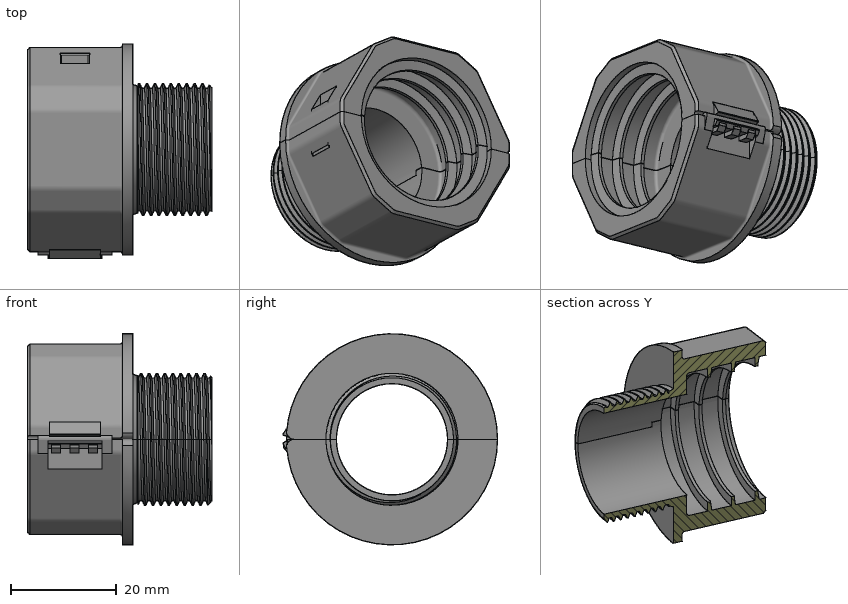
import cadquery as cq
import math


total_length = 35.0
socket_length = 18.0
flange_radius = 20.0
flange_thickness = 2.0

wrench_apothem = 18.05
corner_apothem = 19.35
flat_angle = math.radians(30)
corner_rounding = 2.0
front_chamfer = 0.5
flange_fillet = 0.43

bore_radius = 10.5
groove_radius = 14.85
rib_radius = 13.0
rib_width = 0.7
rib_slope = 0.3
first_rib_x = 1.4
rib_pitch = 5.1
rib_count = 3
bulkhead_x = 17.05
bulkhead_fillet = 0.6

thread_radius = 12.5
thread_root_radius = 11.65
thread_pitch = 1.5
thread_crest_width = 0.25
thread_base_width = 1.2
thread_overlap = 0.15
thread_start_x = 20.8
neck_radius = 12.05
neck_base_radius = 12.35
neck_length = 1.0
neck_taper_length = 0.8
thread_end_chamfer = 0.85

tongue_height = 0.95
tongue_half_width = 16.0
tongue_end_x = 19.0
tongue_clearance = 0.06

flange_notch_radius = 1.5
flange_notch_reach = 1.0

bar_start_x = 2.0
bar_end_x = 16.05
bar_inner_y = -18.7
bar_outer_y = -20.0
bar_round = (bar_inner_y - bar_outer_y) / 2
bar_top_z = 0.7
bar_knee_z = -0.2
bar_foot_y = -19.3
bar_bottom_z = -2.7
lip_start_x = 4.2
lip_end_x = 13.85
lip_tip_y = -20.65
lip_root_y = -18.0
upper_lip_outline = [
    (lip_root_y, 3.3),
    (-19.0, 3.3),
    (-19.75, 2.3),
    (lip_tip_y, 1.0),
    (lip_tip_y, 0.8),
    (-19.6, 0.45),
    (lip_root_y, 0.8),
]

pocket_start_x = 3.93
pocket_end_x = 14.12
pocket_floor_y = -17.58
pocket_top_z = -1.7
pocket_bottom_z = -5.65
lip_rib_width = 1.7
lip_rib_first_x = 5.46
lip_rib_pitch = 3.5
lip_rib_count = 3
lower_lip_outline = [
    (lip_root_y, -0.3),
    (bar_outer_y, -0.3),
    (lip_tip_y, -0.7),
    (lip_tip_y, -0.85),
    (-20.1, pocket_top_z),
    (lip_root_y, pocket_top_z),
]
lip_rib_outline = [
    (pocket_floor_y, -1.0),
    (-20.5, -1.0),
    (-20.5, -1.6),
    (-19.7, -2.6),
    (pocket_floor_y, -2.6),
]

slot_start_x = 6.27
slot_end_x = 11.78
slot_inner_y = 16.28
slot_outer_y = 18.23
latch_start_x = 6.45
latch_end_x = 11.5
latch_outer_y = 17.95
latch_height = 2.0

half_space = 30.0


def box(x0, x1, y0, y1, z0, z1):
    """Box between two corners."""
    return cq.Workplane("XY").box(x1 - x0, y1 - y0, z1 - z0, centered=False).translate((x0, y0, z0))


def prism(points, x0, x1):
    """Extrude a (y, z) outline along X from x0 to x1."""
    return cq.Workplane("YZ", origin=(x0, 0, 0)).polyline(points).close().extrude(x1 - x0)


def revolve_about_x(points):
    """Revolve an (x, radius) outline around the X axis."""
    return cq.Workplane("XY").polyline(points).close().revolve(360, (0, 0, 0), (1, 0, 0))


def make_head():
    """Twelve-sided head with rounded corners, joined to the round flange by a fillet."""
    along_flat = (corner_apothem - wrench_apothem * math.cos(flat_angle)) / math.sin(flat_angle)
    vertex_radius = math.hypot(wrench_apothem, along_flat)
    vertex_offset = math.atan2(along_flat, wrench_apothem)
    corners = []
    for i in range(6):
        flat_direction = math.pi / 2 + i * 2 * flat_angle
        for angle in (flat_direction - vertex_offset, flat_direction + vertex_offset):
            corners.append((vertex_radius * math.cos(angle), vertex_radius * math.sin(angle)))
    head = prism(corners, 0, socket_length).edges("|X").fillet(corner_rounding)
    head = head.faces("<X").chamfer(front_chamfer)
    flange = cq.Workplane("YZ", origin=(socket_length, 0, 0)).circle(flange_radius).extrude(flange_thickness)
    head = head.union(flange)
    tolerance = 0.01
    joint = cq.selectors.BoxSelector(
        (socket_length - tolerance, -half_space, -half_space),
        (socket_length + tolerance, half_space, half_space),
        boundingbox=True,
    )
    foot = [edge for edge in head.edges(joint).vals() if edge.Length() < flange_radius]
    return head.newObject(foot).fillet(flange_fillet)


def make_threaded_core():
    """Shank core: necked root next to the flange, plain cylinder under the thread."""
    flange_end = socket_length + flange_thickness
    neck_end = flange_end + neck_length
    return revolve_about_x([
        (socket_length, 0),
        (socket_length, neck_base_radius),
        (flange_end, neck_base_radius),
        (flange_end + neck_taper_length, neck_radius),
        (neck_end, neck_radius),
        (neck_end, thread_root_radius),
        (total_length, thread_root_radius),
        (total_length, 0),
    ])


def make_thread():
    """Right-handed helical ridge, trimmed by the neck and the chamfered shank end."""
    base_radius = thread_root_radius - thread_overlap
    height = total_length + thread_pitch - thread_start_x
    helix = cq.Wire.makeHelix(thread_pitch, height, base_radius)
    ridge = (
        cq.Workplane("XZ")
        .polyline([
            (base_radius, -thread_base_width / 2),
            (thread_radius, -thread_crest_width / 2),
            (thread_radius, thread_crest_width / 2),
            (base_radius, thread_base_width / 2),
        ])
        .close()
        .sweep(cq.Workplane(obj=helix), isFrenet=True)
    )
    ridge = ridge.rotate((0, 0, 0), (0, 1, 0), 90).translate((thread_start_x, 0, 0))
    neck_end = socket_length + flange_thickness + neck_length
    margin = 1.0
    envelope = revolve_about_x([
        (neck_end, 0),
        (neck_end, thread_radius + margin),
        (total_length - thread_end_chamfer - margin, thread_radius + margin),
        (total_length, thread_radius - thread_end_chamfer),
        (total_length, 0),
    ])
    return ridge.intersect(envelope)


def make_bore():
    """Cavity of the socket with its retaining ribs, and the bore through the shank."""
    outline = [(0, 0), (0, groove_radius)]
    for i in range(rib_count):
        rib_x = first_rib_x + i * rib_pitch
        crest_x = rib_x + rib_slope
        outline += [
            (rib_x, groove_radius),
            (crest_x, rib_radius),
            (crest_x + rib_width, rib_radius),
            (crest_x + rib_width, groove_radius),
        ]
    outline += [(bulkhead_x, groove_radius), (bulkhead_x, 0)]
    socket = revolve_about_x(outline).faces(">X").edges().fillet(bulkhead_fillet)
    through = cq.Workplane("YZ").circle(bore_radius).extrude(total_length)
    return socket.union(through)


def make_flange_notch(start_x):
    """V gap at the -Y side, from start_x to the end of the flange, that leaves rounded ends."""
    r = flange_notch_radius
    edge_y = -flange_radius
    middle = r * math.sin(math.pi / 4)
    return (
        cq.Workplane("YZ", origin=(start_x, 0, 0))
        .moveTo(edge_y + r, 0)
        .threePointArc((edge_y + r - middle, r - middle), (edge_y, r))
        .lineTo(edge_y - flange_notch_reach, r)
        .lineTo(edge_y - flange_notch_reach, -r)
        .lineTo(edge_y, -r)
        .threePointArc((edge_y + r - middle, middle - r), (edge_y + r, 0))
        .close()
        .extrude(socket_length + flange_thickness - start_x)
    )


def make_bar():
    """Round-topped bar along the -Y edge of the lower half."""
    shoulder_z = bar_top_z - bar_round
    return (
        cq.Workplane("YZ", origin=(bar_start_x, 0, 0))
        .moveTo(bar_inner_y, bar_bottom_z)
        .lineTo(bar_inner_y, shoulder_z)
        .threePointArc((bar_inner_y - bar_round, bar_top_z), (bar_outer_y, shoulder_z))
        .lineTo(bar_outer_y, bar_knee_z)
        .lineTo(bar_foot_y, bar_bottom_z)
        .close()
        .extrude(bar_end_x - bar_start_x)
    )


def make_bar_seat():
    """Hollow in the upper half that clears the bar and runs out at the front."""
    shoulder_z = bar_top_z - bar_round
    middle = bar_round * math.sin(math.pi / 4)
    return (
        cq.Workplane("YZ")
        .moveTo(bar_inner_y, 0)
        .lineTo(bar_inner_y, shoulder_z)
        .threePointArc(
            (bar_inner_y - bar_round + middle, shoulder_z + middle),
            (bar_inner_y - bar_round, bar_top_z),
        )
        .lineTo(bar_outer_y, bar_top_z)
        .lineTo(bar_outer_y, 0)
        .close()
        .extrude(bar_end_x)
    )


def make_tongue_space(height):
    """Block along the parting plane on both sides of the bore, up to the given height."""
    return box(first_rib_x, tongue_end_x, -tongue_half_width, tongue_half_width, 0, height)


def make_tongue(half):
    """Parting faces of the lower half, raised straight up inside the tongue block."""
    tongue = cq.Workplane("XY")
    for face in half.faces(">Z").vals():
        raised = cq.Solid.extrudeLinear(face, cq.Vector(0, 0, tongue_height))
        tongue = tongue.add(raised)
    return tongue.combine().intersect(make_tongue_space(tongue_height))


def make_upper_half(adapter):
    half = adapter.intersect(box(0, total_length, -half_space, half_space, 0, half_space))
    half = half.cut(make_tongue_space(tongue_height + tongue_clearance))
    half = half.cut(make_bar_seat()).cut(make_flange_notch(bar_end_x))
    half = half.cut(box(slot_start_x, slot_end_x, slot_inner_y, slot_outer_y, 0, wrench_apothem))
    lip = prism(upper_lip_outline, lip_start_x, lip_end_x)
    return half.union(lip.cut(make_bar()))


def make_lower_half(adapter):
    half = adapter.intersect(box(0, total_length, -half_space, half_space, -half_space, 0))
    half = half.union(make_tongue(half))
    half = half.cut(make_flange_notch(socket_length)).union(make_bar())
    half = half.cut(box(
        pocket_start_x, pocket_end_x, -half_space, pocket_floor_y, pocket_bottom_z, pocket_top_z))
    lip = prism(lower_lip_outline, pocket_start_x, pocket_end_x)
    half = half.union(lip)
    for i in range(lip_rib_count):
        rib_x = lip_rib_first_x + i * lip_rib_pitch
        rib = prism(lip_rib_outline, rib_x - lip_rib_width / 2, rib_x + lip_rib_width / 2)
        half = half.union(rib)
    half = half.cut(box(slot_start_x, slot_end_x, latch_outer_y, slot_outer_y, -wrench_apothem, 0))
    latch = box(latch_start_x, latch_end_x, slot_inner_y, latch_outer_y, 0, latch_height)
    return half.union(latch)


adapter = make_head().union(make_threaded_core()).union(make_thread())
adapter = adapter.cut(make_bore())
upper_half = make_upper_half(adapter)
lower_half = make_lower_half(adapter)
result = cq.Compound.makeCompound([upper_half.solids().val(), lower_half.solids().val()])